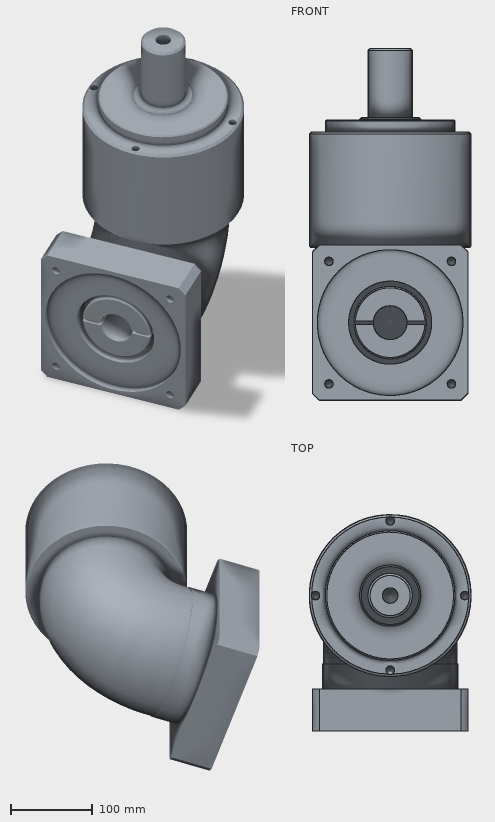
import cadquery as cq
import math


FLANGE_SIDE = 192.0
FLANGE_CHAMFER = 8.5
FLANGE_FACE_Y = -167.2
FLANGE_THICKNESS = 52.0
FLANGE_BACK_Y = FLANGE_FACE_Y + FLANGE_THICKNESS
FLANGE_HOLE_RADIUS = 5.0
FLANGE_HOLE_DEPTH = 21.7
FLANGE_HOLE_SPACING = 151.0
PILOT_RECESS_RADIUS = 90.0
PILOT_RECESS_DEPTH = 8.0

COLLAR_WELL_RADIUS = 51.3
COLLAR_WELL_DEPTH = 26.0
COLLAR_RADIUS = 44.7
COLLAR_SETBACK = 2.0
COLLAR_CHAMFER = 1.7
COLLAR_BORE_RADIUS = 21.0
COLLAR_BORE_DEPTH = 69.5
COLLAR_SLOT_WIDTH = 4.5
COLLAR_SLOT_DEPTH = 43.5

ELBOW_RADIUS = 82.5
BEND_RADIUS = 76.5
NECK_RADIUS = 83.5
NECK_START_Y = -84.3

LENGTH_Z = 434.5
SHAFT_TOP_Z = LENGTH_Z - FLANGE_SIDE / 2
BODY_RADIUS = 100.0
BODY_BOTTOM_Z = 93.0
BODY_TOP_Z = 235.5
BODY_TOP_CHAMFER = 3.0
BODY_BOTTOM_CHAMFER = 1.7
PILOT_RADIUS = 80.0
PILOT_TOP_Z = 250.0
PILOT_CHAMFER = 1.7
SEAL_RADIUS = 38.0
SEAL_TOP_Z = 253.0
SEAL_CHAMFER = 2.0
SHAFT_RADIUS = 27.5
SHAFT_CHAMFER = 2.5
CENTER_HOLE_RADIUS = 9.5
CENTER_HOLE_DEPTH = 43.5
BODY_HOLE_RADIUS = 5.0
BODY_HOLE_DEPTH = 26.0
BODY_HOLE_CIRCLE_RADIUS = 92.0
BODY_HOLE_COUNT = 4

DRILL_POINT_ANGLE = 118.0


def cylinder_z(radius, bottom, top):
    """Cylinder around the output axis."""
    return cq.Workplane("XY").workplane(offset=bottom).circle(radius).extrude(top - bottom)


def cylinder_y(radius, front, back):
    """Cylinder around the input axis, from y = front to y = back."""
    return cq.Workplane("XZ", origin=(0, back, 0)).circle(radius).extrude(back - front)


def drilled_hole(radius, depth, mouth, direction):
    """Blind hole with a conical drill point, to be cut from the part."""
    tip = radius / math.tan(math.radians(DRILL_POINT_ANGLE / 2))
    start = cq.Vector(*mouth)
    axis = cq.Vector(*direction)
    straight = cq.Solid.makeCylinder(radius, depth, start, axis)
    point = cq.Solid.makeCone(radius, 0, tip, start + axis * depth, axis)
    return cq.Workplane(straight.fuse(point))


def make_output_side():
    """Gear body, pilot, seal shoulder and shaft stacked along the output axis."""
    body = cylinder_z(BODY_RADIUS, BODY_BOTTOM_Z, BODY_TOP_Z)
    body = body.faces(">Z").chamfer(BODY_TOP_CHAMFER)
    body = body.faces("<Z").chamfer(BODY_BOTTOM_CHAMFER)
    pilot = cylinder_z(PILOT_RADIUS, BODY_BOTTOM_Z, PILOT_TOP_Z).faces(">Z").chamfer(PILOT_CHAMFER)
    seal = cylinder_z(SEAL_RADIUS, BODY_BOTTOM_Z, SEAL_TOP_Z).faces(">Z").chamfer(SEAL_CHAMFER)
    shaft = cylinder_z(SHAFT_RADIUS, BODY_BOTTOM_Z, SHAFT_TOP_Z).faces(">Z").chamfer(SHAFT_CHAMFER)
    return body.union(pilot).union(seal).union(shaft)


def make_elbow():
    """Quarter bend between the two axes, with a straight stub at each end.

    The tube is wider than the bend radius, so its section stops at the bend axis.
    The bend is one quarter of the full ring around that axis.
    """
    section_half_width = math.sqrt(ELBOW_RADIUS**2 - BEND_RADIUS**2)
    ring = (
        cq.Workplane("XY", origin=(0, 0, BEND_RADIUS))
        .moveTo(-section_half_width, -BEND_RADIUS)
        .threePointArc((0, ELBOW_RADIUS), (section_half_width, -BEND_RADIUS))
        .close()
        .revolve(360, (0, -BEND_RADIUS), (-1, -BEND_RADIUS))
    )
    ring_radius = BEND_RADIUS + ELBOW_RADIUS
    quarter = (
        cq.Workplane("XY", origin=(0, -BEND_RADIUS, BEND_RADIUS - ring_radius))
        .box(2 * ring_radius, ring_radius, ring_radius, centered=(True, False, False))
    )
    bend = ring.intersect(quarter)
    output_stub = cylinder_z(ELBOW_RADIUS, BEND_RADIUS, BODY_BOTTOM_Z)
    input_stub = cylinder_y(ELBOW_RADIUS, NECK_START_Y, -BEND_RADIUS)
    neck = cylinder_y(NECK_RADIUS, FLANGE_BACK_Y, NECK_START_Y)
    return bend.union(output_stub).union(input_stub).union(neck)


def make_flange():
    """Square motor flange with chamfered corners and a round pilot recess."""
    flange = (
        cq.Workplane("XZ", origin=(0, FLANGE_BACK_Y, 0))
        .rect(FLANGE_SIDE, FLANGE_SIDE)
        .extrude(FLANGE_THICKNESS)
        .edges("|Y")
        .chamfer(FLANGE_CHAMFER)
    )
    recess = cylinder_y(PILOT_RECESS_RADIUS, FLANGE_FACE_Y, FLANGE_FACE_Y + PILOT_RECESS_DEPTH)
    return flange.cut(recess)


def cut_collar(part):
    """Cut the well around the clamping collar, then the collar's bore and slot."""
    recess_floor = FLANGE_FACE_Y + PILOT_RECESS_DEPTH
    well_floor = recess_floor + COLLAR_WELL_DEPTH
    collar_face = recess_floor + COLLAR_SETBACK
    well = cylinder_y(COLLAR_WELL_RADIUS, recess_floor, well_floor)
    collar = cylinder_y(COLLAR_RADIUS, collar_face, well_floor).faces("<Y").chamfer(COLLAR_CHAMFER)
    bore = cylinder_y(COLLAR_BORE_RADIUS, collar_face, collar_face + COLLAR_BORE_DEPTH)
    slot = (
        cq.Workplane("XZ", origin=(0, collar_face + COLLAR_SLOT_DEPTH, 0))
        .rect(2 * COLLAR_RADIUS, COLLAR_SLOT_WIDTH)
        .extrude(COLLAR_SLOT_DEPTH)
    )
    return part.cut(well.cut(collar)).cut(bore).cut(slot)


def cut_drilled_holes(part):
    """Shaft center hole, body face holes and flange corner holes."""
    part = part.cut(
        drilled_hole(CENTER_HOLE_RADIUS, CENTER_HOLE_DEPTH, (0, 0, SHAFT_TOP_Z), (0, 0, -1))
    )
    for index in range(BODY_HOLE_COUNT):
        angle = 2 * math.pi * index / BODY_HOLE_COUNT
        x = BODY_HOLE_CIRCLE_RADIUS * math.cos(angle)
        y = BODY_HOLE_CIRCLE_RADIUS * math.sin(angle)
        part = part.cut(drilled_hole(BODY_HOLE_RADIUS, BODY_HOLE_DEPTH, (x, y, BODY_TOP_Z), (0, 0, -1)))
    half_spacing = FLANGE_HOLE_SPACING / 2
    for x in (-half_spacing, half_spacing):
        for z in (-half_spacing, half_spacing):
            mouth = (x, FLANGE_FACE_Y, z)
            part = part.cut(drilled_hole(FLANGE_HOLE_RADIUS, FLANGE_HOLE_DEPTH, mouth, (0, 1, 0)))
    return part


housing = make_output_side().union(make_elbow()).union(make_flange())
result = cut_drilled_holes(cut_collar(housing))